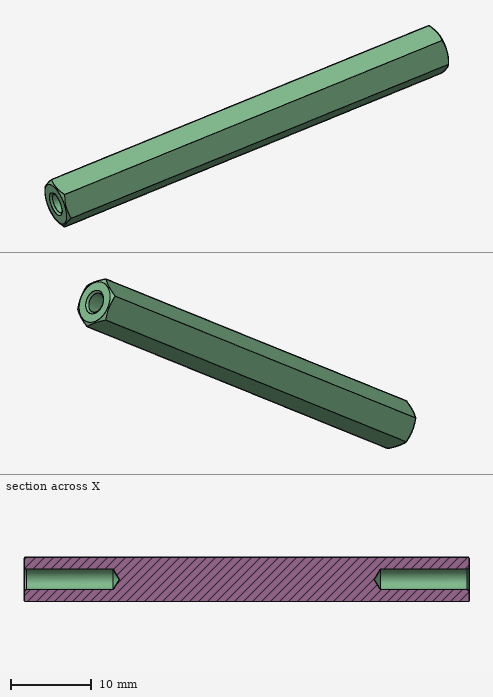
import cadquery as cq
import math

length = 55.0
across_flats = 5.5
across_corners = across_flats / math.cos(math.radians(30))

end_face_diameter = 5.2
corner_chamfer_angle = 30.0

hole_diameter = 2.5
hole_depth = 11.0
countersink_diameter = 3.0
drill_tip_angle = 118.0

half_length = length / 2


def revolve_about_y(points):
    """Turn a closed (radius, Y) outline about the Y axis."""
    return cq.Workplane("XY").polyline(points).close().revolve(360, (0, 0, 0), (0, 1, 0))


def make_hexagon_bar():
    """Hexagonal bar with corners on +X and -X, flats on +Z and -Z."""
    return cq.Workplane("XZ").polygon(6, across_corners).extrude(half_length, both=True)


def make_chamfer_envelope():
    """Round bar with coned ends; its overlap with the hexagon gives the corner chamfers."""
    corner_radius = across_corners / 2
    face_radius = end_face_diameter / 2
    chamfer_length = (corner_radius - face_radius) * math.tan(math.radians(corner_chamfer_angle))
    shoulder = half_length - chamfer_length
    return revolve_about_y([
        (0, -half_length),
        (face_radius, -half_length),
        (corner_radius, -shoulder),
        (corner_radius, shoulder),
        (face_radius, half_length),
        (0, half_length),
    ])


def make_end_hole():
    """Hole cutter for the -Y end: countersink, straight bore and drill tip."""
    radius = hole_diameter / 2
    countersink_radius = countersink_diameter / 2
    countersink_depth = countersink_radius - radius
    bore_end = hole_depth - half_length
    tip_length = radius / math.tan(math.radians(drill_tip_angle / 2))
    return revolve_about_y([
        (0, -half_length),
        (countersink_radius, -half_length),
        (radius, countersink_depth - half_length),
        (radius, bore_end),
        (0, bore_end + tip_length),
    ])


end_hole = make_end_hole()
result = make_hexagon_bar().intersect(make_chamfer_envelope())
result = result.cut(end_hole).cut(end_hole.mirror("XZ"))